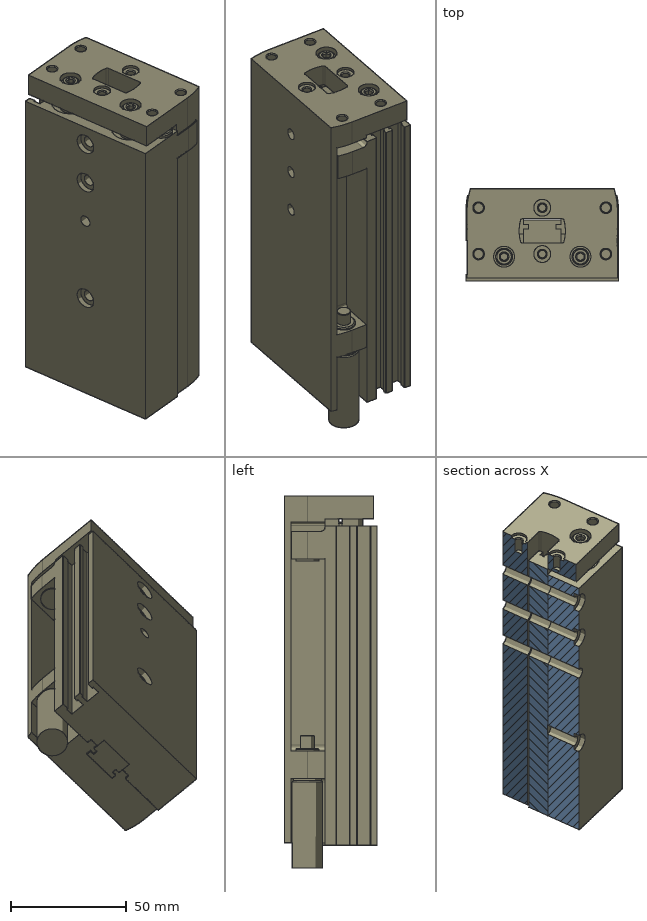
import cadquery as cq
import math


housing_half_width = 33.0
housing_length = 138.0
housing_z_range = (0, housing_length)
housing_height = 22.5

groove_mouths = [(3.0, 8.5), (12.0, 17.5)]
rib_half_width = 32.0
groove_lip_x = -30.0
groove_undercut = 0.6
groove_floor_x = -26.8
groove_mouth_chamfer = 0.3

stop_bottom = 123.7
stop_top = 135.6
stop_back = 37.0
stop_inner_x = 18.0
stop_foot_radius = 2.0
bumper_diameter = 10.0
bumper_height = 0.8

plug_x = 27.8
plug_y = 17.5
plug_diameter = 10.0
plug_height = 1.6
plug_chamfer = 0.5

mounting_hole_diameter = 5.0
counterbore_diameter = 9.0
counterbore_depth = 2.5
counterbored_through_z = [129.3, 109.3]
plain_through_z = 89.3
counterbored_blind_z = 49.3

table_half_width = 32.5
table_back = 40.0
table_bottom = 1.0
side_curve_start = 30.0
side_curve_radius = 36.0
plate_thickness = 10.0
plate_gap = 3.0
plate_front = 1.5
plate_bottom = housing_length + plate_gap
plate_top = plate_bottom + plate_thickness

pocket_wall_x = -17.0
pocket_back = 37.25
pocket_ceiling = 139.6
absorber_block_bottom = 28.8
absorber_block_top = 40.8
ceiling_radius = 1.5
floor_radius = 2.5

rail_half_width = 8.0
rail_front = 16.5
rail_back = 26.5
rail_notch_depth = 2.0
rail_notch_x = rail_half_width - rail_notch_depth
rail_notches = [(-rail_half_width, -rail_notch_x), (rail_notch_x, rail_half_width)]
rail_notch_front = 22.5
rail_notch_back = 24.5
rail_top = plate_bottom
rail_clearance = 0.5
tongue_half_width = 12.0
tongue_front = 20.5
tongue_top = 136.0

window_half_width = 10.0
window_corner_half_width = 9.2
window_corner_radius = 0.8
window_front = rail_front
window_back = rail_back + rail_clearance

tapped_hole_depth = 8.0
plate_hole_front = 11.75
plate_hole_back = 31.75
corner_hole_x = 27.5
corner_hole_diameter = 4.13
corner_hole_mouth = 5.0
center_hole_diameter = 3.24
center_hole_mouth = 4.13
center_counterbore_diameter = 7.3
center_counterbore_depth = 1.2

rod_x = 16.5
rod_y = 10.6
rod_diameter = 8.92
rod_depth = 100.0
gland_diameter = 16.0
gland_depth = 2.0
screw_diameter = 5.0
head_diameter = 7.3
head_height = 5.0
head_chamfer = 0.5
head_recess = 1.0
head_bore_diameter = 9.0
hex_across_flats = 3.0
hex_sink_diameter = 4.13
hex_depth = 2.5

absorber_x = -26.3
absorber_y = 30.1
absorber_bottom = -9.85
absorber_diameter = 13.2
absorber_neck_diameter = 10.0
absorber_neck_rise = 1.1
absorber_neck_chamfer = 0.5
absorber_collar_diameter = 12.0
absorber_collar_height = 0.9
absorber_shoulder_chamfer = 0.5
absorber_rod_diameter = 6.0
absorber_rod_top = 47.4
absorber_rod_chamfer = 0.25


def centered(half_width):
    """Range of X that is symmetric about the middle plane."""
    return (-half_width, half_width)


def box(x_range, y_range, z_range):
    size = [high - low for low, high in (x_range, y_range, z_range)]
    return cq.Workplane("XY").box(*size, centered=False).translate((x_range[0], y_range[0], z_range[0]))


def cylinder(x, y, diameter, bottom, top):
    return cq.Workplane("XY", origin=(x, y, bottom)).circle(diameter / 2).extrude(top - bottom)


def front_hole(z, diameter, depth):
    """Cylinder that runs from the mounting face toward +Y."""
    return cq.Workplane("XZ", origin=(0, 0, z)).circle(diameter / 2).extrude(-depth)


def curve_inset(y):
    """How far the rounded side lies inside the full half width at height y."""
    rise = y - side_curve_start
    return side_curve_radius - (side_curve_radius**2 - rise**2) ** 0.5


def rounded_block(half_width, front, back, bottom, top):
    """Block over the full width whose sides curve inward above side_curve_start."""
    middle = (side_curve_start + back) / 2
    back_x = half_width - curve_inset(back)
    middle_x = half_width - curve_inset(middle)
    return (
        cq.Workplane("XY", origin=(0, 0, bottom))
        .moveTo(-half_width, front)
        .lineTo(half_width, front)
        .lineTo(half_width, side_curve_start)
        .threePointArc((middle_x, middle), (back_x, back))
        .lineTo(-back_x, back)
        .threePointArc((-middle_x, middle), (-half_width, side_curve_start))
        .close()
        .extrude(top - bottom)
    )


def through_holes():
    """Mounting holes that pass through the housing, the rail and the table."""
    holes = front_hole(plain_through_z, mounting_hole_diameter, table_back)
    for z in counterbored_through_z:
        holes = holes.union(front_hole(z, mounting_hole_diameter, table_back))
    return holes


def side_groove(front, back):
    """Groove with lips at its mouth, along the -X side of the housing."""
    mouth = box((-housing_half_width, groove_lip_x), (front, back), housing_z_range)
    cavity = box(
        (groove_lip_x, groove_floor_x),
        (front - groove_undercut, back + groove_undercut),
        housing_z_range,
    )
    return mouth.union(cavity)


def make_stop_blocks():
    """Stop block on the -X side, with its bumper and rounded foot, and a plain one on the +X side."""
    block = rounded_block(housing_half_width, housing_height, stop_back, stop_bottom, stop_top)
    middle = box(centered(stop_inner_x), (housing_height, stop_back), (stop_bottom, stop_top))
    blocks = block.cut(middle)
    bumper = cylinder(absorber_x, absorber_y, bumper_diameter, stop_bottom - bumper_height, stop_bottom)

    foot_back = housing_height + stop_foot_radius
    foot_top = stop_top + stop_foot_radius
    foot = box((-housing_half_width, -stop_inner_x), (housing_height, foot_back), (stop_top, foot_top))
    rounding = (
        cq.Workplane("YZ", origin=(-housing_half_width, foot_back, foot_top))
        .circle(stop_foot_radius)
        .extrude(housing_half_width - stop_inner_x)
    )
    return blocks.union(bumper).union(foot.cut(rounding))


def make_housing():
    body = box(centered(housing_half_width), (0, housing_height), housing_z_range)
    (flange_back, rib_front), (rib_back, upper_front) = groove_mouths
    body = body.cut(box((-housing_half_width, -rib_half_width), (rib_front, rib_back), housing_z_range))
    for front, back in groove_mouths:
        body = body.cut(side_groove(front, back))
    mouth_edges = [
        (-housing_half_width, flange_back),
        (-rib_half_width, rib_front),
        (-rib_half_width, rib_back),
        (-housing_half_width, upper_front),
    ]
    for x, y in mouth_edges:
        edge = cq.selectors.NearestToPointSelector((x, y, housing_length / 2))
        body = body.edges(edge).chamfer(groove_mouth_chamfer)
    body = body.union(make_stop_blocks())

    plug = cylinder(plug_x, plug_y, plug_diameter, housing_length, housing_length + plug_height)
    body = body.union(plug.faces(">Z").chamfer(plug_chamfer))

    tongue_bed = box(centered(tongue_half_width), (tongue_front, housing_height), housing_z_range)
    rail_bed = box(centered(rail_half_width), (rail_front, housing_height), housing_z_range)
    body = body.cut(tongue_bed).cut(rail_bed)
    for x in (-rod_x, rod_x):
        body = body.cut(cylinder(x, rod_y, rod_diameter, housing_length - rod_depth, housing_length))
        body = body.cut(cylinder(x, rod_y, gland_diameter, housing_length - gland_depth, housing_length))

    body = body.cut(through_holes())
    body = body.cut(front_hole(counterbored_blind_z, mounting_hole_diameter, rail_front))
    for z in counterbored_through_z + [counterbored_blind_z]:
        body = body.cut(front_hole(z, counterbore_diameter, counterbore_depth))
    return body


def make_rail():
    rail = box(centered(rail_half_width), (rail_front, rail_back), (0, rail_top))
    for x_range in rail_notches:
        rail = rail.cut(box(x_range, (rail_notch_front, rail_notch_back), (0, rail_top)))
    return rail.cut(through_holes())


def side_pocket(bottom, top):
    """Pocket in the -X side of the table, rounded where its ceiling meets its wall."""
    pocket = box((-housing_half_width, pocket_wall_x), (housing_height, pocket_back), (bottom, top))
    return pocket.edges(">X and >Z").fillet(ceiling_radius)


def plate_window():
    """Opening over the rail's end, with bulged ends."""
    middle = (window_front + window_back) / 2
    return (
        cq.Workplane("XY", origin=(0, 0, tongue_top))
        .moveTo(-window_corner_half_width, window_front)
        .lineTo(window_corner_half_width, window_front)
        .threePointArc((window_half_width, middle), (window_corner_half_width, window_back))
        .lineTo(-window_corner_half_width, window_back)
        .threePointArc((-window_half_width, middle), (-window_corner_half_width, window_front))
        .close()
        .extrude(plate_top - tongue_top)
        .edges("|Z")
        .fillet(window_corner_radius)
    )


def cone_sink(x, y, diameter, mouth, top):
    """45 degree countersink that narrows from the mouth to the hole's diameter."""
    depth = (mouth - diameter) / 2
    cone = cq.Solid.makeCone(diameter / 2, mouth / 2, depth, cq.Vector(x, y, top - depth))
    return cq.Workplane(cone)


def countersunk_hole(x, y, diameter, mouth, top):
    hole = cylinder(x, y, diameter, plate_top - tapped_hole_depth, top)
    return hole.union(cone_sink(x, y, diameter, mouth, top))


def rod_seat(x):
    """Bore for the screw head and the clearance hole under it."""
    head_bottom = plate_top - head_recess - head_height
    shank = cylinder(x, rod_y, screw_diameter, plate_bottom, head_bottom)
    return shank.union(cylinder(x, rod_y, head_bore_diameter, head_bottom, plate_top))


def absorber_seat():
    return cylinder(absorber_x, absorber_y, absorber_neck_diameter, absorber_block_bottom, absorber_block_top)


def make_table():
    table = rounded_block(table_half_width, housing_height, table_back, table_bottom, plate_top)
    plate = box(centered(table_half_width), (plate_front, housing_height), (plate_bottom, plate_top))
    tongue = box(centered(tongue_half_width), (tongue_front, housing_height), (table_bottom, tongue_top))
    table = table.union(plate).union(tongue)

    upper_pocket = side_pocket(absorber_block_top, pocket_ceiling)
    table = table.cut(upper_pocket.edges(">X and <Z").fillet(floor_radius))
    table = table.cut(side_pocket(table_bottom, absorber_block_bottom)).cut(absorber_seat())
    stop_recess = box((stop_inner_x, housing_half_width), (housing_height, stop_back), (stop_bottom, stop_top))
    table = table.cut(stop_recess)

    channel = box(centered(rail_half_width), (tongue_front, window_back), (table_bottom, plate_bottom))
    for x_range in rail_notches:
        channel = channel.cut(box(x_range, (rail_notch_front, rail_notch_back), (table_bottom, tongue_top)))
    table = table.cut(channel).cut(plate_window())

    for y in (plate_hole_front, plate_hole_back):
        for x in (-corner_hole_x, corner_hole_x):
            table = table.cut(countersunk_hole(x, y, corner_hole_diameter, corner_hole_mouth, plate_top))
        floor = plate_top - center_counterbore_depth
        table = table.cut(cylinder(0, y, center_counterbore_diameter, floor, plate_top))
        table = table.cut(countersunk_hole(0, y, center_hole_diameter, center_hole_mouth, floor))
    for x in (-rod_x, rod_x):
        table = table.cut(rod_seat(x))
    return table.cut(through_holes())


def make_piston_rod(x):
    """Rod, screw shank and socket head in one piece."""
    head_top = plate_top - head_recess
    head_bottom = head_top - head_height
    head = cylinder(x, rod_y, head_diameter, head_bottom, head_top).faces(">Z").chamfer(head_chamfer)
    hexagon = cq.Workplane("XY", origin=(x, rod_y, head_top)).transformed(rotate=(0, 0, 90))
    hex_across_corners = hex_across_flats / math.cos(math.pi / 6)
    socket = hexagon.polygon(6, hex_across_corners).extrude(-hex_depth)
    sink = cone_sink(x, rod_y, hex_across_flats, hex_sink_diameter, head_top)
    rod = cylinder(x, rod_y, rod_diameter, housing_length - rod_depth, plate_bottom)
    shank = cylinder(x, rod_y, screw_diameter, plate_bottom, head_bottom)
    return rod.union(shank).union(head.cut(socket).cut(sink))


def make_absorber():
    shoulder_z = absorber_block_bottom - absorber_collar_height
    body = cylinder(absorber_x, absorber_y, absorber_diameter, absorber_bottom, shoulder_z)
    body = body.faces(">Z").chamfer(absorber_shoulder_chamfer)
    collar = cylinder(absorber_x, absorber_y, absorber_collar_diameter, shoulder_z, absorber_block_bottom)
    neck_top = absorber_block_top + absorber_neck_rise
    neck = cylinder(absorber_x, absorber_y, absorber_neck_diameter, absorber_block_bottom, neck_top)
    neck = neck.faces(">Z").chamfer(absorber_neck_chamfer)
    rod = cylinder(absorber_x, absorber_y, absorber_rod_diameter, neck_top, absorber_rod_top)
    rod = rod.faces(">Z").chamfer(absorber_rod_chamfer)
    return body.union(collar).union(neck).union(rod)


housing = make_housing()
rail = make_rail()
table = make_table()
absorber = make_absorber()
piston_rods = [make_piston_rod(x) for x in (-rod_x, rod_x)]

result = cq.Compound.makeCompound(
    [housing.val(), rail.val(), table.val(), absorber.val(), *[rod.val() for rod in piston_rods]]
)